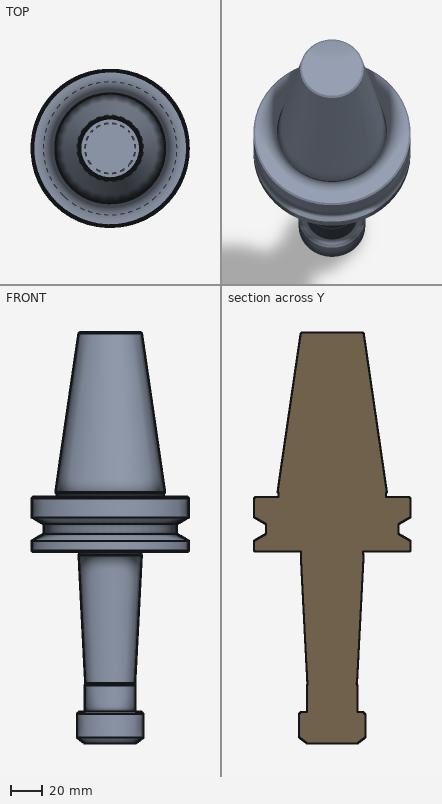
import cadquery as cq
import math

total_length = 261.8
flange_radius = 50.0
flange_thickness = 35.0
flange_top_chamfer = 1.0
flange_bottom_chamfer = 0.8

taper_length = 101.8
taper_large_radius = 34.95
taper_small_radius = taper_large_radius - taper_length * 7 / 48
taper_tip_chamfer = 1.0
relief_radius = 34.3
relief_length = 3.0
relief_bevel_height = 0.8

groove_radius = 42.5
groove_top_offset = 13.0
groove_wall_angle = 30
groove_wall_height = (flange_radius - groove_radius) * math.tan(math.radians(groove_wall_angle))
groove_width = 15.0

shank_top_radius = 20.2
shank_collar_radius = 20.0
shank_collar_length = 1.5
shank_collar_flare = 0.8
shank_end_radius = 16.0
shank_length = 83.3

neck_radius = 16.2
neck_groove_radius = 15.7
neck_groove_upper_height = 0.5
neck_groove_lower_height = 1.3
nut_radius = 21.2
nut_length = 20.5
nut_top_chamfer = 1.5
nut_tip_chamfer_width = 5.2
nut_tip_chamfer_height = 4.0

taper_base = total_length - taper_length
flange_top = taper_base - relief_length
flange_bottom = flange_top - flange_thickness
groove_top = flange_top - groove_top_offset
groove_bottom = groove_top - groove_width
shank_bottom = flange_bottom - shank_length
neck_groove_level = shank_bottom - neck_groove_upper_height
collar_bottom = flange_bottom - shank_collar_length

nut_points = [
    (0, 0),
    (nut_radius - nut_tip_chamfer_width, 0),
    (nut_radius, nut_tip_chamfer_height),
    (nut_radius, nut_length - nut_top_chamfer),
    (nut_radius - nut_top_chamfer, nut_length),
]
shank_points = [
    (neck_radius, nut_length),
    (neck_radius, neck_groove_level - neck_groove_lower_height),
    (neck_groove_radius, neck_groove_level),
    (shank_end_radius, shank_bottom),
    (shank_top_radius, collar_bottom - shank_collar_flare),
    (shank_collar_radius, collar_bottom),
    (shank_collar_radius, flange_bottom),
]
flange_points = [
    (flange_radius - flange_bottom_chamfer, flange_bottom),
    (flange_radius, flange_bottom + flange_bottom_chamfer),
    (flange_radius, groove_bottom),
    (groove_radius, groove_bottom + groove_wall_height),
    (groove_radius, groove_top - groove_wall_height),
    (flange_radius, groove_top),
    (flange_radius, flange_top - flange_top_chamfer),
    (flange_radius - flange_top_chamfer, flange_top),
]
taper_points = [
    (relief_radius, flange_top),
    (relief_radius, taper_base - relief_bevel_height),
    (taper_large_radius, taper_base),
    (taper_small_radius + taper_tip_chamfer * 7 / 48, total_length - taper_tip_chamfer),
    (taper_small_radius - taper_tip_chamfer, total_length),
    (0, total_length),
]

section_points = nut_points + shank_points + flange_points + taper_points
half_section = cq.Workplane("XZ").polyline(section_points).close()
result = half_section.revolve(360, (0, 0, 0), (0, 1, 0))